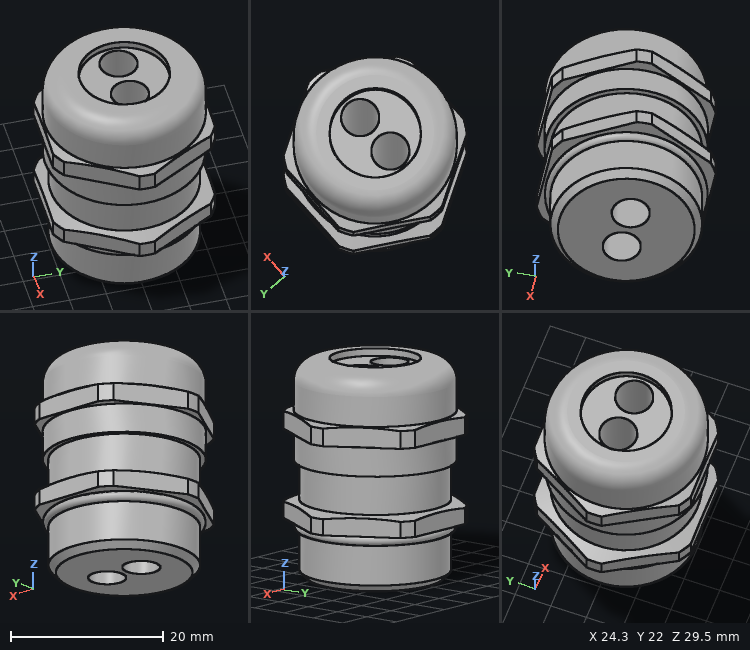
import cadquery as cq
import math


total_height = 29.5

body_radius = 10.0
bottom_chamfer = 1.0
body_top = 15.8

cap_radius = 10.75
cap_fillet = 3.0

across_flats = 22.0
corner_radius = 12.15
bevel_angle = 15.0
lower_hex_bottom = 7.75
upper_hex_bottom = 19.75
hex_height = 2.75

ring_section_radius = 0.7

recess_radius = 6.0
recess_depth = 1.0
cable_hole_diameter = 5.0
cable_hole_spacing = 6.0


def cylinder(radius, bottom, top):
    return cq.Workplane("XY").workplane(offset=bottom).circle(radius).extrude(top - bottom)


def make_body():
    return cylinder(body_radius, 0, body_top).faces("<Z").chamfer(bottom_chamfer)


def make_cap():
    return cylinder(cap_radius, body_top, total_height).faces(">Z").edges().fillet(cap_fillet)


def make_hex_collar(bottom, hub_radius):
    """Hexagon with rounded corners and a top that slopes down outward from the hub."""
    across_corners = across_flats / math.cos(math.radians(30))
    prism = cq.Workplane("XY").workplane(offset=bottom).polygon(6, across_corners).extrude(hex_height)
    bevel_drop = (corner_radius - hub_radius) * math.tan(math.radians(bevel_angle))
    envelope = (
        cq.Workplane("XZ")
        .moveTo(0, bottom)
        .lineTo(corner_radius, bottom)
        .lineTo(corner_radius, bottom + hex_height - bevel_drop)
        .lineTo(hub_radius, bottom + hex_height)
        .lineTo(0, bottom + hex_height)
        .close()
        .revolve(360, (0, 0, 0), (0, 1, 0))
    )
    return prism.intersect(envelope)


def make_o_ring():
    """Half-round bead around the body, resting against the lower collar."""
    ring_bottom = lower_hex_bottom - 2 * ring_section_radius
    ring_middle = lower_hex_bottom - ring_section_radius
    return (
        cq.Workplane("XZ")
        .moveTo(0, ring_bottom)
        .lineTo(body_radius, ring_bottom)
        .threePointArc((body_radius + ring_section_radius, ring_middle), (body_radius, lower_hex_bottom))
        .lineTo(0, lower_hex_bottom)
        .close()
        .revolve(360, (0, 0, 0), (0, 1, 0))
    )


def make_recess():
    return cylinder(recess_radius, total_height - recess_depth, total_height)


def make_cable_holes():
    half_spacing = cable_hole_spacing / 2
    return (
        cq.Workplane("XY")
        .pushPoints([(-half_spacing, 0), (half_spacing, 0)])
        .circle(cable_hole_diameter / 2)
        .extrude(total_height)
    )


result = (
    make_body()
    .union(make_cap())
    .union(make_hex_collar(lower_hex_bottom, body_radius))
    .union(make_hex_collar(upper_hex_bottom, cap_radius))
    .union(make_o_ring())
    .cut(make_recess())
    .cut(make_cable_holes())
)